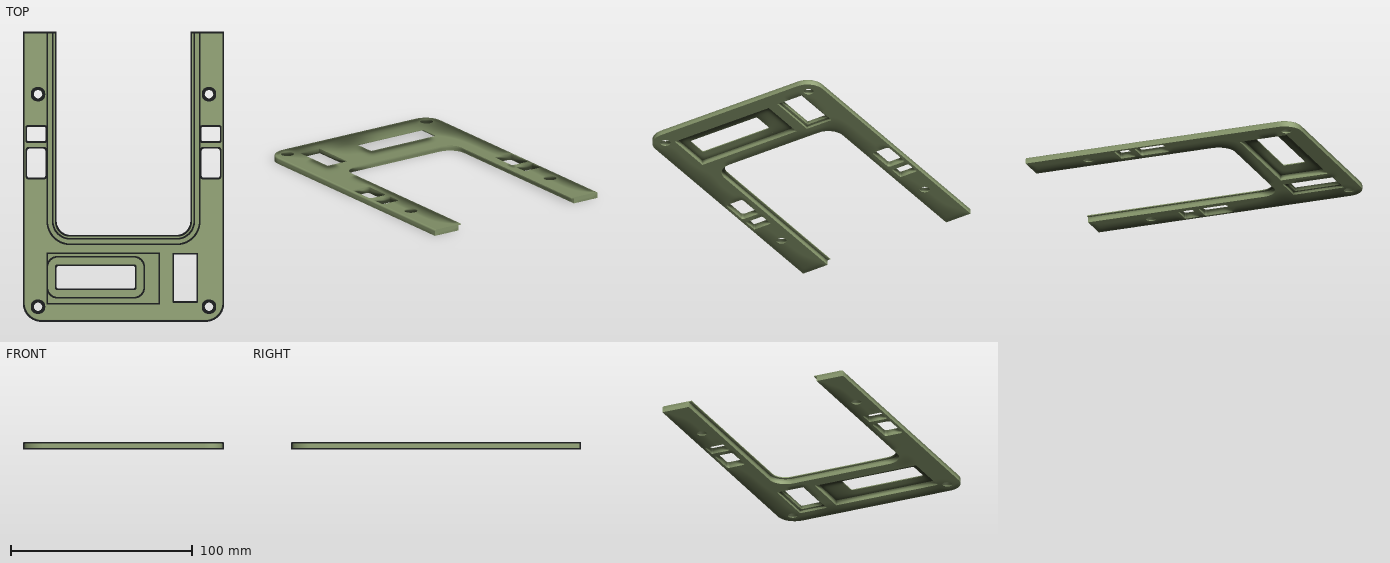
import cadquery as cq

WIDTH = 110.0
LENGTH = 159.0
THICKNESS = 3.5
CORNER_RADIUS = 10.0
TOP_EDGE_RADIUS = 1.0

INLAY_THICKNESS = 0.5
INLAY_RIM = 4.8

BAY_HALF_WIDTH = 37.2
BAY_END_Y = 47.0
BAY_RADIUS = 8.0
BAY_OVERHANG = 1.7

WINDOW_LEFT = -BAY_HALF_WIDTH
WINDOW_FRONT = 17.6
WINDOW_LENGTH = 43.9
WINDOW_DEPTH = 13.0
WINDOW_RADIUS = 1.0

DISPLAY_LEFT = WINDOW_LEFT - INLAY_RIM
DISPLAY_FRONT = 9.7
DISPLAY_LENGTH = 61.7
DISPLAY_DEPTH = 27.8

OPENING_LEFT = 27.5
OPENING_FRONT = 10.7
OPENING_LENGTH = 13.0
OPENING_DEPTH = 26.4
OPENING_SKIN = 2.0
OPENING_RELIEF = 1.6

SLOT_INNER_X = 42.6
SLOT_WIDTH = 10.8
SMALL_SLOT_FRONT = 98.7
SMALL_SLOT_LENGTH = 8.6
SMALL_SLOT_RADIUS = 0.6
LARGE_SLOT_FRONT = 78.5
LARGE_SLOT_LENGTH = 16.9
LARGE_SLOT_RADIUS = 1.5

SCREW_INSET = 8.0
SCREW_BACK_Y = 125.0
SCREW_DIAMETER = 5.5
HEAD_DIAMETER = 7.2
HEAD_DEPTH = 3.0

INLAY_FLOOR = THICKNESS - INLAY_THICKNESS


def block(left, front, length, depth, bottom, top):
    """Box from its left front corner in plan and its two heights."""
    return cq.Workplane("XY").box(length, depth, top - bottom, centered=False).translate((left, front, bottom))


def rounded_block(left, front, length, depth, bottom, top, radius):
    """Box with all four upright edges rounded."""
    return block(left, front, length, depth, bottom, top).edges("|Z").fillet(radius)


def bay_block(margin, bottom, top):
    """Bay shape, widened all round by a margin and running out through the open end."""
    half_width = BAY_HALF_WIDTH + margin
    front = BAY_END_Y - margin
    bay = block(-half_width, front, 2 * half_width, LENGTH - front, bottom, top)
    return bay.edges("|Z and <Y").fillet(BAY_RADIUS + margin)


def window_block(margin, bottom, top):
    """Display window shape, widened all round by a margin."""
    return rounded_block(
        WINDOW_LEFT - margin,
        WINDOW_FRONT - margin,
        WINDOW_LENGTH + 2 * margin,
        WINDOW_DEPTH + 2 * margin,
        bottom,
        top,
        WINDOW_RADIUS + margin,
    )


def make_bay_inlay():
    return bay_block(INLAY_RIM, INLAY_FLOOR, THICKNESS).cut(bay_block(0, INLAY_FLOOR, THICKNESS))


def make_window_inlay():
    return window_block(INLAY_RIM, INLAY_FLOOR, THICKNESS).cut(window_block(0, INLAY_FLOOR, THICKNESS))


def make_plate():
    """Plain plate with rounded closed-end corners and a rounded top rim, square at the open end."""
    plate = block(-WIDTH / 2, 0, WIDTH, LENGTH, 0, THICKNESS)
    plate = plate.edges("|Z and <Y").fillet(CORNER_RADIUS)
    return plate.faces(">Z").edges("not >Y").fillet(TOP_EDGE_RADIUS)


def cut_bay(housing):
    housing = housing.cut(bay_block(BAY_OVERHANG, 0, THICKNESS))
    return housing.cut(bay_block(INLAY_RIM, INLAY_FLOOR, THICKNESS))


def cut_display(housing):
    housing = housing.cut(window_block(INLAY_RIM, INLAY_FLOOR, THICKNESS))
    return housing.cut(block(DISPLAY_LEFT, DISPLAY_FRONT, DISPLAY_LENGTH, DISPLAY_DEPTH, 0, INLAY_FLOOR))


def cut_opening(housing):
    relief_top = THICKNESS - OPENING_SKIN
    housing = housing.cut(block(OPENING_LEFT, OPENING_FRONT, OPENING_LENGTH, OPENING_DEPTH, 0, THICKNESS))
    relief = block(
        OPENING_LEFT - OPENING_RELIEF,
        OPENING_FRONT - OPENING_RELIEF,
        OPENING_LENGTH + 2 * OPENING_RELIEF,
        OPENING_DEPTH + 2 * OPENING_RELIEF,
        0,
        relief_top,
    )
    return housing.cut(relief)


def cut_slots(housing):
    slots = [
        (SMALL_SLOT_FRONT, SMALL_SLOT_LENGTH, SMALL_SLOT_RADIUS),
        (LARGE_SLOT_FRONT, LARGE_SLOT_LENGTH, LARGE_SLOT_RADIUS),
    ]
    for left in (-SLOT_INNER_X - SLOT_WIDTH, SLOT_INNER_X):
        for front, length, radius in slots:
            housing = housing.cut(rounded_block(left, front, SLOT_WIDTH, length, 0, THICKNESS, radius))
    return housing


def cut_screw_holes(housing):
    screw_x = WIDTH / 2 - SCREW_INSET
    centres = [(x, y) for x in (-screw_x, screw_x) for y in (SCREW_INSET, SCREW_BACK_Y)]
    top = cq.Workplane("XY").workplane(offset=THICKNESS).pushPoints(centres)
    screws = top.circle(SCREW_DIAMETER / 2).extrude(-THICKNESS)
    heads = top.circle(HEAD_DIAMETER / 2).extrude(-HEAD_DEPTH)
    return housing.cut(screws).cut(heads)


def make_housing():
    housing = make_plate()
    housing = cut_bay(housing)
    housing = cut_display(housing)
    housing = cut_opening(housing)
    housing = cut_slots(housing)
    return cut_screw_holes(housing)


housing = make_housing()
bay_inlay = make_bay_inlay()
window_inlay = make_window_inlay()

result = cq.Compound.makeCompound([housing.val(), bay_inlay.val(), window_inlay.val()])